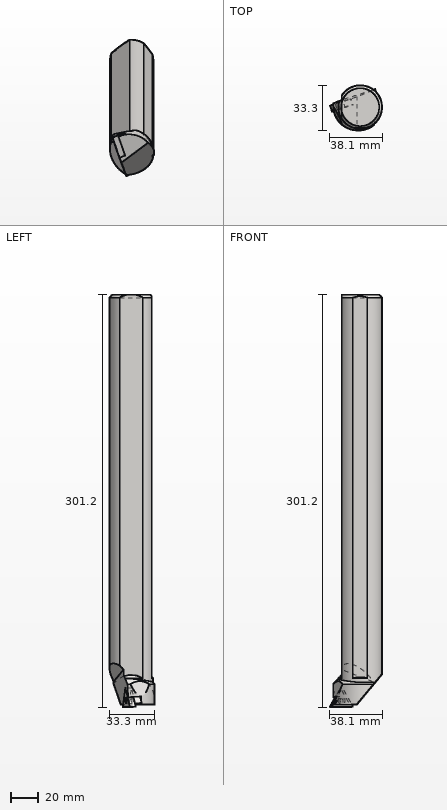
import cadquery as cq
import math

LENGTH = 301.2
SHANK_RADIUS = 16.0
TOP_CHAMFER = 2.0
SIDE_FLAT = 13.5
FRONT_FLAT = 15.0
SHANK_END = 18.0

COLLAR_TOP = 23.2
COLLAR_BEVEL = 2.0

HEAD_X = -1.5
HEAD_Y = 1.2
HEAD_RADIUS = 18.5
HEAD_BOTTOM = 1.8
CONE_BOTTOM = 17.0
CONE_HEIGHT = 6.0

END_POINT = (SHANK_RADIUS, 0, 24.0)
END_NORMAL = (1.2, 0, -1)
RELIEF_POINT = (-18.5, -7.5, 5.0)
RELIEF_NORMAL = (-1, -0.5, 0.22)
RUNOUT_POINT = (-SIDE_FLAT, 4.8, 26.8)
RUNOUT_NORMAL = (-0.7, 1, -1)

TIP = (-22.3, 1.0, 0)
RAKE_NORMAL = (-0.34, 1, -0.06)
CORNER_ANGLE = 60
INSERT_SIDE = 16.5
INSERT_THICKNESS = 4.5
INSERT_HOLE = 4.0
NOSE_RADIUS = 0.3
LEDGE_DEPTH = 9.5
LEDGE_LENGTH = 8.5

CUT_SIZE = 120.5


def half_space(point, normal):
    """Block on the outward side of a plane."""
    plane = cq.Plane(origin=point, normal=normal)
    return cq.Workplane(plane).rect(CUT_SIZE, CUT_SIZE).extrude(CUT_SIZE)


def rake_plane():
    """Local X runs along the bottom edge; local Y points down, away from the insert."""
    return cq.Plane(origin=TIP, xDir=(1, -RAKE_NORMAL[0], 0), normal=RAKE_NORMAL)


def make_shank():
    height = LENGTH - SHANK_END
    shank = cq.Workplane("XY", origin=(0, 0, SHANK_END)).circle(SHANK_RADIUS).extrude(height)
    shank = shank.faces(">Z").chamfer(TOP_CHAMFER)
    width = 2 * SHANK_RADIUS
    envelope = cq.Workplane("XY", origin=(-SIDE_FLAT, -FRONT_FLAT, SHANK_END))
    return shank.intersect(envelope.rect(width, width, centered=False).extrude(height))


def make_collar():
    collar = cq.Workplane("XY", origin=(0, 0, SHANK_END)).circle(SHANK_RADIUS)
    return collar.extrude(COLLAR_TOP - SHANK_END).faces(">Z").chamfer(COLLAR_BEVEL)


def make_head():
    head = cq.Workplane("XY", origin=(HEAD_X, HEAD_Y, HEAD_BOTTOM))
    head = head.circle(HEAD_RADIUS).extrude(CONE_BOTTOM - HEAD_BOTTOM)
    cone = cq.Solid.makeCone(
        HEAD_RADIUS, HEAD_RADIUS - CONE_HEIGHT, CONE_HEIGHT, cq.Vector(HEAD_X, HEAD_Y, CONE_BOTTOM)
    )
    return head.union(cq.Workplane(cone)).cut(half_space(RELIEF_POINT, RELIEF_NORMAL))


def insert_blank():
    """Equilateral triangle with rounded corners and no hole."""
    triangle_height = INSERT_SIDE * math.sin(math.radians(CORNER_ANGLE))
    blank = cq.Workplane(rake_plane()).polyline(
        [(0, 0), (INSERT_SIDE, 0), (INSERT_SIDE / 2, -triangle_height)]
    ).close().extrude(-INSERT_THICKNESS)
    return blank.edges(cq.selectors.ParallelDirSelector(cq.Vector(*RAKE_NORMAL))).fillet(NOSE_RADIUS)


def make_insert():
    centre_height = INSERT_SIDE / 2 * math.tan(math.radians(CORNER_ANGLE / 2))
    hole = cq.Workplane(rake_plane()).center(INSERT_SIDE / 2, -centre_height)
    return insert_blank().cut(hole.circle(INSERT_HOLE / 2).extrude(-INSERT_THICKNESS))


def insert_ledge():
    """Clearance outside the slanted insert edge, down to below the insert."""
    x = LEDGE_LENGTH * math.cos(math.radians(CORNER_ANGLE))
    y = -LEDGE_LENGTH * math.sin(math.radians(CORNER_ANGLE))
    return cq.Workplane(rake_plane()).polyline(
        [(0, 0), (x, y), (-LEDGE_LENGTH, y), (-LEDGE_LENGTH, 0)]
    ).close().extrude(-LEDGE_DEPTH)


def make_bar():
    bar = make_shank().union(make_collar()).union(make_head())
    pocket = half_space(TIP, RAKE_NORMAL).intersect(half_space(RUNOUT_POINT, RUNOUT_NORMAL))
    bar = bar.cut(half_space(END_POINT, END_NORMAL)).cut(pocket)
    return bar.cut(insert_ledge()).cut(insert_blank())


bar = make_bar()
insert = make_insert()
result = cq.Compound.makeCompound([bar.val(), insert.val()])